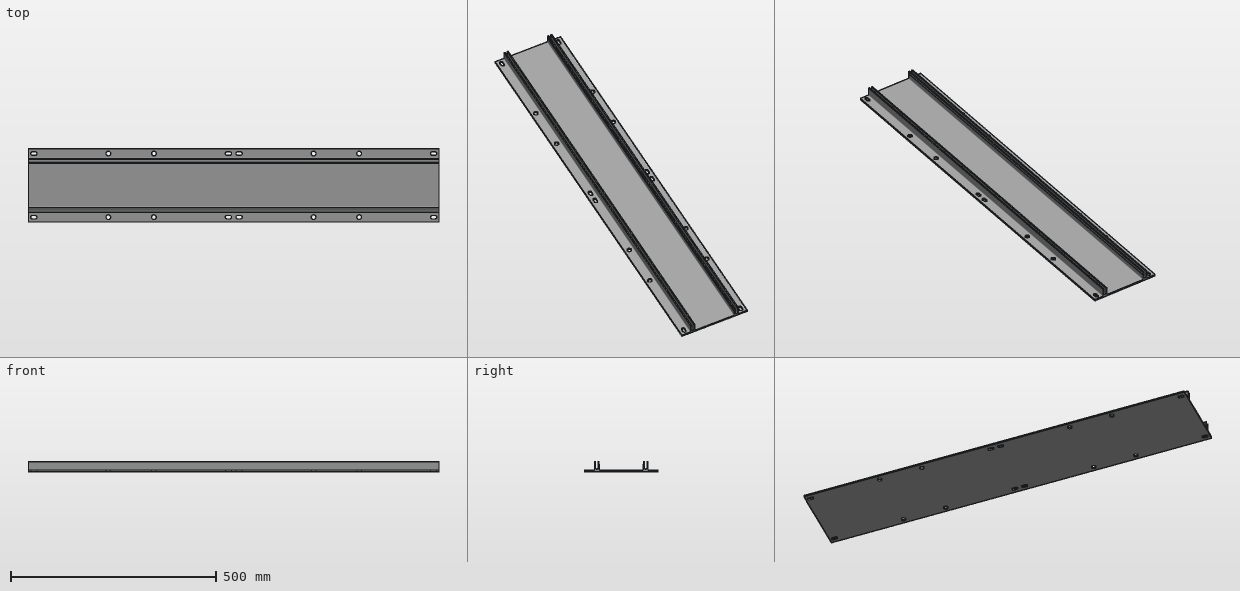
import cadquery as cq
import math

length = 1000.0
width = 179.0
plate_thickness = 4.5
height = 25.0

rail_inset = 24.0
leg_thickness = 3.0
groove_width = 5.5
floor_thickness = 2.5
foot_radius = 1.5
step_height = 18.0
step_depth = 0.5
rail_width = 2 * leg_thickness + groove_width

hole_inset = 12.0
hole_diameter = 11.0
hole_spacing = 111.0
slot_inset = 13.0
slot_length = 15.0
slot_width = 8.0
section_length = length / 2


def make_plate():
    return cq.Workplane("XY").box(length, width, plate_thickness, centered=(True, True, False))


def make_rail():
    """Rail on the +Y side, drawn around its own middle with the stepped leg toward -Y."""
    half_width = rail_width / 2
    stepped_face = half_width + step_depth
    groove_radius = groove_width / 2
    groove_bottom = plate_thickness + floor_thickness
    foot_top = plate_thickness + foot_radius
    stepped_foot_end = stepped_face + foot_radius
    plain_foot_end = half_width + foot_radius
    foot_mid = foot_radius * math.sqrt(0.5)
    return (
        cq.Workplane("YZ")
        .center(width / 2 - rail_inset - half_width, 0)
        .moveTo(-stepped_foot_end, plate_thickness)
        .threePointArc((-stepped_foot_end + foot_mid, foot_top - foot_mid), (-stepped_face, foot_top))
        .lineTo(-stepped_face, step_height)
        .lineTo(-half_width, step_height)
        .lineTo(-half_width, height)
        .lineTo(-groove_radius, height)
        .lineTo(-groove_radius, groove_bottom + groove_radius)
        .threePointArc((0, groove_bottom), (groove_radius, groove_bottom + groove_radius))
        .lineTo(groove_radius, height)
        .lineTo(half_width, height)
        .lineTo(half_width, foot_top)
        .threePointArc((plain_foot_end - foot_mid, foot_top - foot_mid), (plain_foot_end, plate_thickness))
        .close()
        .extrude(length / 2, both=True)
    )


def mirrored_points(x_offset):
    """Places at +/- x_offset from each section's middle, along both long edges."""
    edge_y = width / 2 - hole_inset
    return [
        (section_x + side * x_offset, y)
        for section_x in (-section_length / 2, section_length / 2)
        for side in (-1, 1)
        for y in (-edge_y, edge_y)
    ]


def make_slots():
    points = mirrored_points(section_length / 2 - slot_inset)
    return cq.Workplane("XY").pushPoints(points).slot2D(slot_length, slot_width).extrude(plate_thickness)


def make_round_holes():
    points = mirrored_points(hole_spacing / 2)
    return cq.Workplane("XY").pushPoints(points).circle(hole_diameter / 2).extrude(plate_thickness)


rail = make_rail()
result = make_plate().union(rail).union(rail.mirror("XZ"))
result = result.cut(make_slots()).cut(make_round_holes())